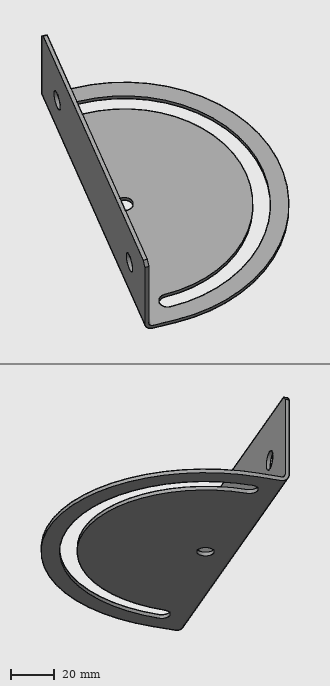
import cadquery as cq

width = 150.0
height = 45.0
sheet = 2.0
inner_bend_radius = 2.1
outer_bend_radius = inner_bend_radius + sheet
plate_radius = width / 2
front_y = -15.0

pivot_diameter = 8.0
slot_width = 8.0
slot_radius = 62.5

mount_diameter = 9.0
mount_spacing = 105.0
mount_height = height / 2
corner_chamfer = 2.4


def make_base():
    """Flat plate with a half-round rear edge."""
    return (
        cq.Workplane("XY")
        .moveTo(-plate_radius, front_y)
        .lineTo(plate_radius, front_y)
        .lineTo(plate_radius, 0)
        .threePointArc((0, plate_radius), (-plate_radius, 0))
        .close()
        .extrude(sheet)
    )


def make_flange():
    """Upright flange with chamfered top corners."""
    return (
        cq.Workplane("XY")
        .box(width, sheet, height, centered=(True, False, False))
        .translate((0, front_y, 0))
        .edges("|Y and >Z")
        .chamfer(corner_chamfer)
    )


def round_bend(angle):
    """Round the inside and outside of the fold between plate and flange."""
    inner_edge = cq.selectors.NearestToPointSelector((0, front_y + sheet, sheet))
    outer_edge = cq.selectors.NearestToPointSelector((0, front_y, 0))
    angle = angle.edges(inner_edge).fillet(inner_bend_radius)
    return angle.edges(outer_edge).fillet(outer_bend_radius)


def make_slot():
    """Half-circle slot cutter with round ends."""
    outer = slot_radius + slot_width / 2
    inner = slot_radius - slot_width / 2
    end_y = -slot_width / 2
    return (
        cq.Workplane("XY")
        .moveTo(outer, 0)
        .threePointArc((0, outer), (-outer, 0))
        .threePointArc((-slot_radius, end_y), (-inner, 0))
        .threePointArc((0, inner), (inner, 0))
        .threePointArc((slot_radius, end_y), (outer, 0))
        .close()
        .extrude(sheet)
    )


def make_mount_holes():
    """Cutters for the two holes through the flange."""
    return (
        cq.Workplane("XZ", origin=(0, front_y, 0))
        .pushPoints([(side * mount_spacing / 2, mount_height) for side in (-1, 1)])
        .circle(mount_diameter / 2)
        .extrude(-sheet)
    )


pivot_hole = cq.Workplane("XY").circle(pivot_diameter / 2).extrude(sheet)

bracket = round_bend(make_base().union(make_flange()))
result = bracket.cut(make_slot()).cut(pivot_hole).cut(make_mount_holes())